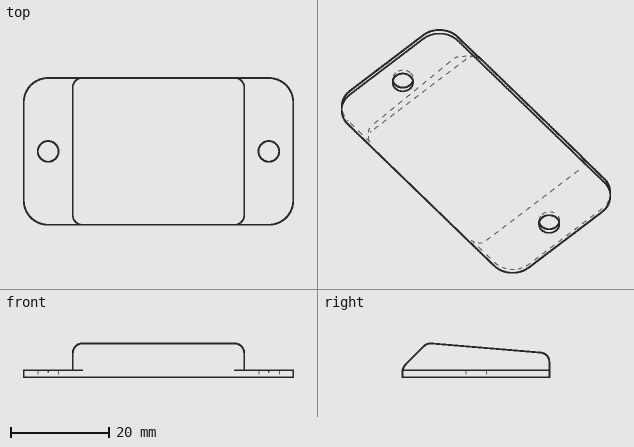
import cadquery as cq
import math

plate_length = 55.0
plate_width = 30.0
plate_thickness = 1.5
plate_corner_radius = 5.0
hole_diameter = 4.2
hole_inset = plate_corner_radius

housing_length = 35.0
edge_radius = 2.0
back_height = 4.95
ridge_height = 7.05
front_height = 2.05
front_lean = math.radians(45)

front_y = -plate_width / 2
back_y = plate_width / 2
ridge_y = front_y + (ridge_height - front_height) * math.tan(front_lean)

front_round_start = front_height - edge_radius * math.tan(front_lean / 2)


def make_plate():
    hole_x = plate_length / 2 - hole_inset
    return (
        cq.Workplane("XY")
        .rect(plate_length, plate_width)
        .extrude(plate_thickness)
        .edges("|Z")
        .fillet(plate_corner_radius)
        .faces(">Z")
        .workplane()
        .pushPoints([(-hole_x, 0), (hole_x, 0)])
        .hole(hole_diameter)
    )


def make_housing():
    side_profile = [
        (front_y, 0),
        (front_y, front_height),
        (ridge_y, ridge_height),
        (back_y, back_height),
        (back_y, 0),
    ]
    return (
        cq.Workplane("YZ")
        .polyline(side_profile)
        .close()
        .extrude(housing_length / 2, both=True)
        .edges("not(<Z)")
        .fillet(edge_radius)
    )


def make_front_edge_cut():
    """Sliver that carries the housing's front rounding along the plate's straight front edge."""
    straight_length = plate_length - 2 * plate_corner_radius
    depth = edge_radius
    height = plate_thickness - front_round_start
    edge_block = cq.Workplane("XY").box(straight_length, depth, height, centered=(True, False, False))
    edge_block = edge_block.translate((0, front_y, front_round_start))
    rounding = (
        cq.Workplane("YZ")
        .center(front_y + edge_radius, front_round_start)
        .circle(edge_radius)
        .extrude(straight_length / 2, both=True)
    )
    return edge_block.cut(rounding)


plate = make_plate().cut(make_front_edge_cut())
result = plate.union(make_housing())